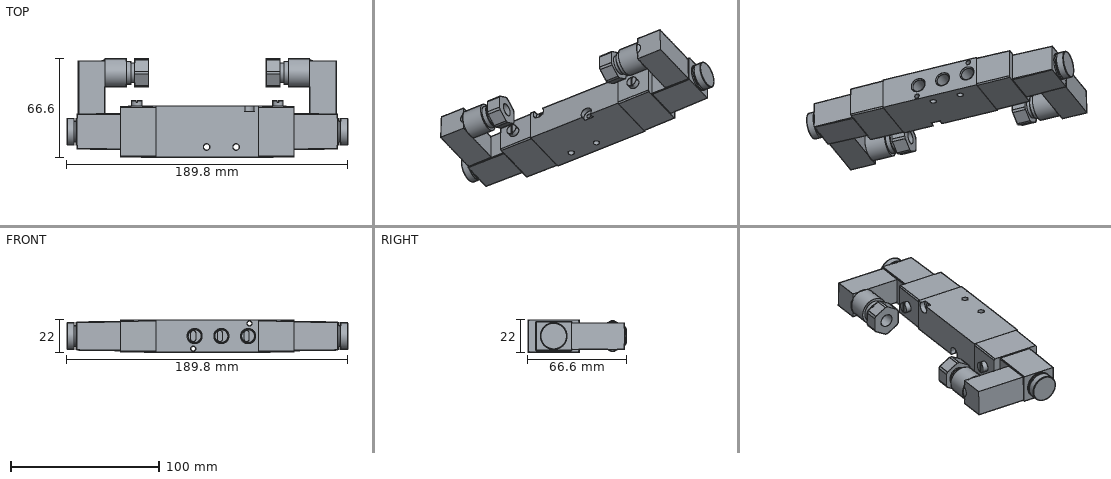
import cadquery as cq
import math

BODY_LENGTH = 69.0
BODY_DEPTH = 34.7
BODY_HEIGHT = 22.0
AXIS_Y = BODY_DEPTH / 2

PORT_CENTRE_X = 9.5
PORT_SPACING = 18.0
PORT_XS = [PORT_CENTRE_X + step * PORT_SPACING for step in (-1, 0, 1)]
PORT_MOUTH_DIAMETER = 10.3
PORT_DIAMETER = 8.7
PORT_DEPTH = 11.4
PORT_CHAMFER = (PORT_MOUTH_DIAMETER - PORT_DIAMETER) / 2
SLOT_WIDTH = 3.5
SLOT_HEIGHT = 7.5
SLOT_DEPTH = 1.9
SLOT_OFFSET_X = -1.0

MOUNT_HOLE_DIAMETER = 4.2
MOUNT_HOLE_SPACING = 20.0
MOUNT_HOLE_Y = 7.0

BOLT_OFFSET_X = 19
BOLT_OFFSET_Z = 8.5
BOLT_DIAMETER = 3.2
BOLT_HEAD_DIAMETER = 8.0
BOLT_HEAD_DEPTH = 3.6

CAP_LENGTH = 24.1
CAP_CHAMFER = 1.0
CAP_DRAFT_ANGLE = 0.6
CAP_START_X = BODY_LENGTH / 2
CAP_END_X = CAP_START_X + CAP_LENGTH
SCREW_X = 47.6
SCREW_DIAMETER = 7.2
SCREW_HEIGHT = 3.6
SCREW_SLOT_WIDTH = 1.0
SCREW_SLOT_DEPTH = 1.0

COIL_LENGTH = 29.2
COIL_DEPTH = 24.5
COIL_Y = 17.5
COIL_HEIGHT = 20.0
COIL_CHAMFER = 0.5
COIL_DRAFT_ANGLE = 0.8
COIL_END_X = CAP_END_X + COIL_LENGTH

OVERALL_LENGTH = 189.8
KNOB_DIAMETER = 18.0
KNOB_CHAMFER = 0.4
KNOB_NECK_DIAMETER = 14.2
KNOB_COLLAR_LENGTH = 1.0
KNOB_NECK_LENGTH = 1.1

CONNECTOR_INNER_X = 69.0
CONNECTOR_OUTER_TOP_X = 86.7
CONNECTOR_OUTER_BOTTOM_X = 87.3
CONNECTOR_BACK_Y = 65.1
CONNECTOR_HEIGHT = 17.8

GLAND_Y = 57.1
GLAND_DIAMETER = 19
GLAND_LENGTH = 14.5
GLAND_STEP_DIAMETER = 15.5
GLAND_STEP_LENGTH = 3.0
GLAND_NECK_DIAMETER = 13.3
GLAND_NECK_LENGTH = 2.5
GLAND_ROOT_LENGTH = 2.5
GLAND_ROOT_DIAMETER = CONNECTOR_HEIGHT
GLAND_ROOT_END_DIAMETER = 16.0
NUT_ACROSS_FLATS = 19
NUT_ACROSS_CORNERS = 20.9
NUT_LENGTH = 9.5
HEXAGON_SIDES = 6
HALF_HEXAGON_STEP = 180 / HEXAGON_SIDES
CABLE_HOLE_DIAMETER = 8.7


def plane_facing_x(x, y=AXIS_Y):
    """Plane whose normal is +X and whose local axes are Y and Z."""
    return cq.Workplane("YZ", origin=(x, y, 0))


def hexagon(across_flats, angle):
    circumradius = across_flats / math.sqrt(3)
    return cq.Sketch().regularPolygon(circumradius, HEXAGON_SIDES, angle)


def drafted_block(start_x, centre_y, length, depth, height, chamfer, draft_angle):
    """Block along +X with chamfered long edges and sides that draw in away from its start."""
    outline = cq.Sketch().rect(depth, height).vertices().chamfer(chamfer)
    return plane_facing_x(start_x, centre_y).placeSketch(outline).extrude(length, taper=draft_angle)


def cylinder_along_y(x, z, diameter, start_y, depth):
    """Cylinder from start_y towards +Y."""
    return cq.Workplane("XZ", origin=(x, start_y, z)).circle(diameter / 2).extrude(-depth)


def port(x):
    """Round port with a chamfered mouth and a slot in its floor."""
    bore = cylinder_along_y(x, 0, PORT_DIAMETER, 0, PORT_DEPTH)
    mouth = (
        cq.Workplane("XZ", origin=(x, 0, 0))
        .circle(PORT_MOUTH_DIAMETER / 2)
        .workplane(offset=-PORT_CHAMFER)
        .circle(PORT_DIAMETER / 2)
        .loft()
    )
    slot = (
        cq.Workplane("XZ", origin=(x + SLOT_OFFSET_X, PORT_DEPTH, 0))
        .slot2D(SLOT_HEIGHT, SLOT_WIDTH, 90)
        .extrude(-SLOT_DEPTH)
    )
    return bore.union(mouth).union(slot)


def make_valve_body():
    body = cq.Workplane().box(BODY_LENGTH, BODY_DEPTH, BODY_HEIGHT).translate((0, AXIS_Y, 0))
    for x in PORT_XS:
        body = body.cut(port(x))
    for side in (-1, 1):
        mount_x = PORT_CENTRE_X + side * MOUNT_HOLE_SPACING / 2
        mount_hole = (
            cq.Workplane(origin=(mount_x, MOUNT_HOLE_Y, 0))
            .circle(MOUNT_HOLE_DIAMETER / 2)
            .extrude(BODY_HEIGHT, both=True)
        )
        bolt_x = PORT_CENTRE_X + side * BOLT_OFFSET_X
        bolt_z = side * BOLT_OFFSET_Z
        bolt_hole = cylinder_along_y(bolt_x, bolt_z, BOLT_DIAMETER, 0, BODY_DEPTH)
        head_start_y = BODY_DEPTH - BOLT_HEAD_DEPTH
        head_recess = cylinder_along_y(bolt_x, bolt_z, BOLT_HEAD_DIAMETER, head_start_y, BOLT_HEAD_DEPTH)
        body = body.cut(mount_hole).cut(bolt_hole).cut(head_recess)
    return body.val()


def make_end_cap():
    """End cap for the +X end, with its slotted screw."""
    cap = drafted_block(
        CAP_START_X, AXIS_Y, CAP_LENGTH, BODY_DEPTH, BODY_HEIGHT, CAP_CHAMFER, CAP_DRAFT_ANGLE
    )
    screw_end_y = BODY_DEPTH + SCREW_HEIGHT
    screw = cylinder_along_y(SCREW_X, 0, SCREW_DIAMETER, AXIS_Y, screw_end_y - AXIS_Y)
    screw_slot = (
        cq.Workplane()
        .box(SCREW_SLOT_WIDTH, SCREW_SLOT_DEPTH, SCREW_DIAMETER)
        .translate((SCREW_X, screw_end_y - SCREW_SLOT_DEPTH / 2, 0))
    )
    return cap.union(screw.cut(screw_slot)).val()


def make_coil():
    return drafted_block(
        CAP_END_X, COIL_Y, COIL_LENGTH, COIL_DEPTH, COIL_HEIGHT, COIL_CHAMFER, COIL_DRAFT_ANGLE
    )


def make_knob():
    neck_start_x = COIL_END_X + KNOB_COLLAR_LENGTH
    disc_start_x = neck_start_x + KNOB_NECK_LENGTH
    collar = plane_facing_x(COIL_END_X).circle(KNOB_DIAMETER / 2).extrude(KNOB_COLLAR_LENGTH)
    neck = plane_facing_x(neck_start_x).circle(KNOB_NECK_DIAMETER / 2).extrude(KNOB_NECK_LENGTH)
    disc_length = OVERALL_LENGTH / 2 - disc_start_x
    disc = plane_facing_x(disc_start_x).circle(KNOB_DIAMETER / 2).extrude(disc_length)
    disc = disc.faces(">X").edges().chamfer(KNOB_CHAMFER)
    return collar.union(neck).union(disc)


def make_connector():
    """Block behind the coil, reaching down to the coil's axis, with a leaning outer side."""
    top_z = CONNECTOR_HEIGHT / 2
    outline = [
        (CONNECTOR_INNER_X, -top_z),
        (CONNECTOR_OUTER_BOTTOM_X, -top_z),
        (CONNECTOR_OUTER_TOP_X, top_z),
        (CONNECTOR_INNER_X, top_z),
    ]
    start = cq.Workplane("XZ", origin=(0, AXIS_Y, 0))
    return start.polyline(outline).close().extrude(AXIS_Y - CONNECTOR_BACK_Y)


def make_gland():
    """Stepped gland ending in a hexagonal nut with trimmed corners and a cable hole."""
    step_start_x = CONNECTOR_INNER_X - GLAND_LENGTH
    neck_start_x = step_start_x - GLAND_STEP_LENGTH
    nut_start_x = neck_start_x - GLAND_NECK_LENGTH
    nut_end_x = nut_start_x - NUT_LENGTH
    root = (
        plane_facing_x(CONNECTOR_INNER_X, GLAND_Y)
        .circle(GLAND_ROOT_DIAMETER / 2)
        .workplane(offset=GLAND_ROOT_LENGTH)
        .circle(GLAND_ROOT_END_DIAMETER / 2)
        .loft()
    )
    barrel = plane_facing_x(CONNECTOR_INNER_X, GLAND_Y).circle(GLAND_DIAMETER / 2).extrude(-GLAND_LENGTH)
    step = plane_facing_x(step_start_x, GLAND_Y).circle(GLAND_STEP_DIAMETER / 2).extrude(-GLAND_STEP_LENGTH)
    neck = plane_facing_x(neck_start_x, GLAND_Y).circle(GLAND_NECK_DIAMETER / 2).extrude(-GLAND_NECK_LENGTH)
    nut_flats = hexagon(NUT_ACROSS_FLATS, 0)
    corner_trim = hexagon(NUT_ACROSS_CORNERS, HALF_HEXAGON_STEP)
    nut = plane_facing_x(nut_start_x, GLAND_Y).placeSketch(nut_flats).extrude(-NUT_LENGTH)
    trim = plane_facing_x(nut_start_x, GLAND_Y).placeSketch(corner_trim).extrude(-NUT_LENGTH)
    nut = nut.intersect(trim)
    gland = root.union(barrel).union(step).union(neck).union(nut)
    cable_hole_length = CONNECTOR_INNER_X - nut_end_x
    cable_hole = plane_facing_x(nut_end_x, GLAND_Y).circle(CABLE_HOLE_DIAMETER / 2).extrude(cable_hole_length)
    return gland.cut(cable_hole)


def make_solenoid():
    """Solenoid for the +X end: coil, coil nut, connector and cable gland."""
    return make_coil().union(make_knob()).union(make_connector()).union(make_gland()).val()


bodies = [make_valve_body()]
for make_part in (make_end_cap, make_solenoid):
    right_part = make_part()
    bodies += [right_part, right_part.mirror("YZ")]

result = cq.Compound.makeCompound(bodies)